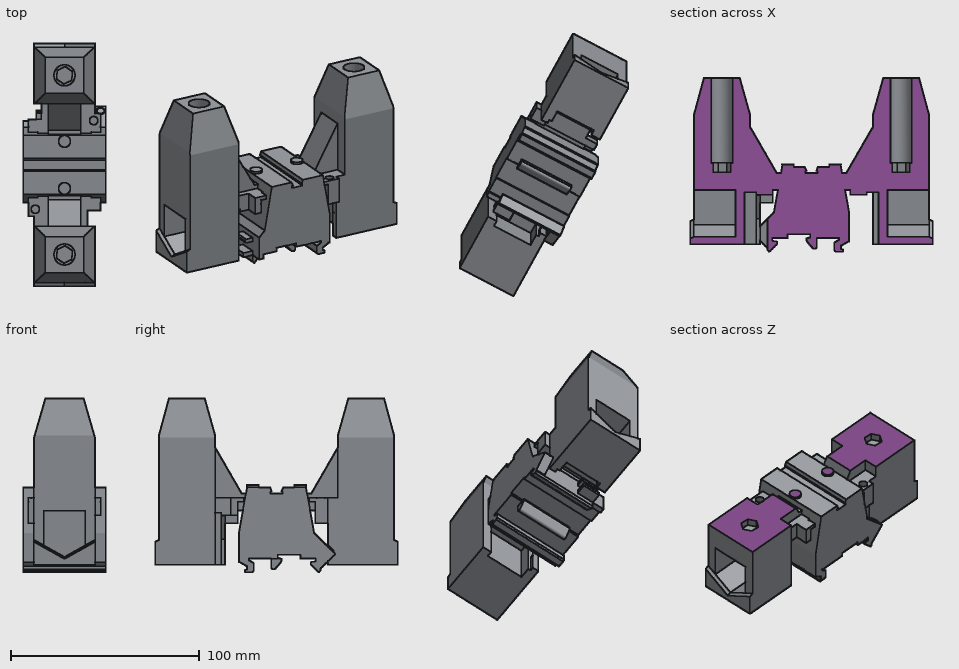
import cadquery as cq


tower_half_width = 16.2
tower_inner_y = 32.5
tower_outer_y = 62.4
tower_top_z = 88.2
side_taper_z = 67.4
end_taper_z = 68.6
crown_half_width = 10.2
crown_inner_y = 38.0
crown_outer_y = 57.1

screw_y = 47.5
screw_hole_diameter = 11.2
screw_hole_depth = 45.0
hex_across_corners = 9.3
hex_depth = 5.0
hex_turn = 26.0

overall_length = 128.81
foot_end_y = overall_length / 2
foot_side_z = 13.2
foot_valley_z = 4.1
foot_bevel_drop = 1.0
opening_half_width = 11.0
opening_top_z = 28.7
opening_depth = 22.0

recess_depth = 3.0
recess_top_z = 27.5
plinth_end_y = 27.3
plinth_step_y = 29.3
plinth_step_inset = 1.5
notch_base_z = 13.5
notch_top_z = 26.0
notch_depth = 3.0

bracket_top_z = 35.5
bracket_base_z = 26.2
wing_half_width = 19.1
wing_end_y = 20.5
lip_end_y = 17.4
lip_base_z = 33.5
neck_half_width = 14.3
neck_base_z = 28.7
neck_end_y = 14.0
left_notch_x = -12.2
left_notch_y = 24.2
deep_wing_base_z = 22.0
wing_hole_x = 15.5
wing_hole_y = 23.5
wing_hole_diameter = 4.4
wing_hole_depth = 10.0
rib_half_width = 8.55
rib_peak_z = 62.2
rib_toe_y = 18.4
rib_toe_z = 37.8

block_half_length = 22.0
block_top_z = 41.1
block_base_z = 3.2
shoulder_y = 20.0
shoulder_z = 16.9
block_top_half_y = 15.65
nose_y = 23.4
overall_height = 92.25
foot_bottom_z = tower_top_z - overall_height
groove_mouth_high_y = 3.6
groove_mouth_low_y = -3.3
groove_lip_half_y = 2.6
groove_lip_z = 39.0
groove_half_y = 3.15
groove_undercut_z = 38.6
groove_floor_z = 37.8
fixed_hook_start_y = -19.3
fixed_hook_start_z = 1.2
fixed_hook_waist_y = -15.7
fixed_hook_waist_z = -0.8
fixed_hook_toe_top_z = -2.4
fixed_hook_toe_y = -16.9
toe_chamfer = 0.45
fixed_hook_inner_y = -12.0
heel_chamfer = 0.85
rail_lip_low_z = 0.9
rail_lip_high_z = 2.4
rail_slot_y = -14.6
channel_low_y = 0.7
channel_high_y = 12.6
channel_top_z = 5.2
catch_start_x = -15.0
hook_root_y = 20.7
hook_root_chamfer = 0.5
hook_ledge_z = 1.6
hook_front_y = 18.1
hook_front_low_z = 0.2
hook_tip_chamfer = 1.05
tooth_back_y = -2.9
tooth_round_back_z = -1.5
tooth_tip_y = -1.7
tooth_tip_z = -2.5
tooth_round_front_y = -0.5
tooth_round_front_z = -2.0
tooth_slope_y = 2.2
tooth_slope_z = 1.1
tooth_front_y = 2.7
tooth_front_low_z = 2.2
tooth_shoulder_z = 3.7
button_y = 12.5
button_diameter = 6.3
button_height = 1.2

wedge_start_x = 16.5
wedge_tip_y = 31.2
boss_x = 19.1
boss_y = 28.4
boss_diameter = 4.4
boss_height = 0.6
boss_flat_offset = 1.7
release_start_x = -15.0
release_width = 10.0
lever_end_y = 29.1
lever_base_z = 0.8
lever_top_z = 3.2
pin_end_y = 28.2
pin_base_z = 8.7
pin_top_z = 10.8
pin_chamfer = 0.8


def box(x_range, y_range, z_range):
    """Axis-aligned box given by its limits along each axis."""
    size = [high - low for low, high in (x_range, y_range, z_range)]
    corner = cq.Vector(x_range[0], y_range[0], z_range[0])
    return cq.Workplane(obj=cq.Solid.makeBox(*size, pnt=corner))


def along_x(points, x_start, x_end):
    """Extrude a (y, z) outline from x_start to x_end."""
    return cq.Workplane("YZ", origin=(x_start, 0, 0)).polyline(points).close().extrude(x_end - x_start)


def along_y(points, y_start, y_end):
    """Extrude an (x, z) outline from y_start to y_end."""
    return cq.Workplane("XZ", origin=(0, y_start, 0)).polyline(points).close().extrude(y_start - y_end)


def make_tower_shell():
    """Square tower whose four sides lean in towards the crown."""
    side_outline = [
        (tower_inner_y, 0),
        (tower_outer_y, 0),
        (tower_outer_y, end_taper_z),
        (crown_outer_y, tower_top_z),
        (crown_inner_y, tower_top_z),
        (tower_inner_y, end_taper_z),
    ]
    end_outline = [
        (-tower_half_width, 0),
        (tower_half_width, 0),
        (tower_half_width, side_taper_z),
        (crown_half_width, tower_top_z),
        (-crown_half_width, tower_top_z),
        (-tower_half_width, side_taper_z),
    ]
    shell = along_x(side_outline, -tower_half_width, tower_half_width)
    return shell.intersect(along_y(end_outline, tower_inner_y, tower_outer_y))


def make_foot():
    """Foot on the outer face with a V-shaped, bevelled top edge."""
    def wire(y, drop):
        points = [
            (-tower_half_width, 0),
            (tower_half_width, 0),
            (tower_half_width, foot_side_z - drop),
            (0, foot_valley_z - drop),
            (-tower_half_width, foot_side_z - drop),
        ]
        return cq.Wire.makePolygon([cq.Vector(x, y, z) for x, z in points], close=True)

    ends = [wire(tower_outer_y, 0), wire(foot_end_y, foot_bevel_drop)]
    return cq.Workplane(obj=cq.Solid.makeLoft(ends, True))


def make_cable_opening():
    """Opening in the outer face whose floor continues the V of the foot."""
    v_slope = (foot_side_z - foot_valley_z) / tower_half_width
    edge_z = foot_valley_z + v_slope * opening_half_width
    outline = [
        (-opening_half_width, opening_top_z),
        (-opening_half_width, edge_z),
        (0, foot_valley_z),
        (opening_half_width, edge_z),
        (opening_half_width, opening_top_z),
    ]
    return along_y(outline, tower_outer_y - opening_depth, tower_outer_y)


def make_screw_hole():
    """Round access hole ending in a hexagonal socket."""
    floor_z = tower_top_z - screw_hole_depth
    hole = (
        cq.Workplane("XY", origin=(0, screw_y, floor_z))
        .circle(screw_hole_diameter / 2)
        .extrude(screw_hole_depth)
    )
    socket = (
        cq.Workplane("XY")
        .polygon(6, hex_across_corners)
        .extrude(-hex_depth)
        .rotate((0, 0, 0), (0, 0, 1), hex_turn)
        .translate((0, screw_y, floor_z))
    )
    return hole.union(socket)


def make_plinth():
    """Ledge at the +X edge of the inner face, with a slanted notch in its front strip."""
    inner_x = opening_half_width
    front_x = inner_x + plinth_step_inset
    back = box((inner_x, tower_half_width), (plinth_step_y, tower_inner_y), (0, bracket_top_z))
    front = box((front_x, tower_half_width), (plinth_end_y, plinth_step_y), (0, bracket_top_z))
    notch = (
        cq.Workplane("XY", origin=(0, 0, notch_base_z))
        .moveTo(front_x, plinth_end_y)
        .lineTo(front_x, plinth_step_y)
        .lineTo(front_x + notch_depth, plinth_step_y)
        .close()
        .extrude(notch_top_z - notch_base_z)
    )
    return back.union(front.cut(notch))


def make_bracket():
    """Winged plate with a sloping rib that ties the tower to the block."""
    wing_x = (-wing_half_width, wing_half_width)
    plate_x = (left_notch_x, tower_half_width)
    neck_x = (-neck_half_width, neck_half_width)
    plate_z = (bracket_base_z, bracket_top_z)
    wings = box(wing_x, (wing_end_y, left_notch_y), plate_z)
    lip = box(wing_x, (lip_end_y, wing_end_y), (lip_base_z, bracket_top_z))
    neck = box(neck_x, (neck_end_y, wing_end_y), (neck_base_z, bracket_top_z))
    plate = box(plate_x, (left_notch_y, plinth_step_y), plate_z)
    root = box(plate_x, (plinth_step_y, tower_inner_y), (recess_top_z, bracket_top_z))
    deep_wing = box(
        (opening_half_width, wing_half_width),
        (wing_end_y, plinth_end_y),
        (deep_wing_base_z, bracket_top_z),
    )
    rib_outline = [
        (tower_inner_y, bracket_top_z),
        (tower_inner_y, rib_peak_z),
        (rib_toe_y, rib_toe_z),
        (neck_end_y, rib_toe_z),
        (neck_end_y, bracket_top_z),
    ]
    bracket = along_x(rib_outline, -rib_half_width, rib_half_width)
    for piece in (wings, lip, neck, plate, root, deep_wing):
        bracket = bracket.union(piece)
    wing_hole = (
        cq.Workplane("XY", origin=(wing_hole_x, wing_hole_y, bracket_top_z))
        .circle(wing_hole_diameter / 2)
        .extrude(-wing_hole_depth)
    )
    return bracket.cut(wing_hole)


def make_tower():
    """Complete +Y tower with its foot, plinth and bracket."""
    inner_recess = box(
        (-opening_half_width, opening_half_width),
        (tower_inner_y, tower_inner_y + recess_depth),
        (0, recess_top_z),
    )
    tower = make_tower_shell().union(make_foot())
    tower = tower.cut(make_cable_opening()).cut(make_screw_hole()).cut(inner_recess)
    return tower.union(make_plinth()).union(make_bracket())


def make_block():
    """Central block: one outline with a top groove and the fixed rail hook, plus two buttons."""
    outline = [
        (block_top_half_y, block_top_z),
        (groove_mouth_high_y, block_top_z),
        (groove_lip_half_y, groove_lip_z),
        (groove_half_y, groove_undercut_z),
        (groove_half_y, groove_floor_z),
        (-groove_half_y, groove_floor_z),
        (-groove_half_y, groove_undercut_z),
        (-groove_lip_half_y, groove_lip_z),
        (groove_mouth_low_y, block_top_z),
        (-block_top_half_y, block_top_z),
        (-shoulder_y, shoulder_z),
        (-shoulder_y, fixed_hook_start_z),
        (fixed_hook_start_y, fixed_hook_start_z),
        (fixed_hook_waist_y, fixed_hook_waist_z),
        (fixed_hook_waist_y, fixed_hook_toe_top_z),
        (fixed_hook_toe_y, fixed_hook_toe_top_z - toe_chamfer),
        (fixed_hook_toe_y, foot_bottom_z + toe_chamfer),
        (fixed_hook_toe_y + toe_chamfer, foot_bottom_z),
        (fixed_hook_inner_y - heel_chamfer, foot_bottom_z),
        (fixed_hook_inner_y, foot_bottom_z + heel_chamfer),
        (fixed_hook_inner_y, rail_lip_low_z),
        (rail_slot_y, rail_lip_high_z),
        (rail_slot_y, block_base_z),
        (channel_low_y, block_base_z),
        (channel_low_y, channel_top_z),
        (channel_high_y, channel_top_z),
        (channel_high_y, block_base_z),
        (hook_root_y, block_base_z),
        (hook_root_y, lever_base_z),
        (nose_y, lever_base_z),
        (nose_y, shoulder_z - (nose_y - shoulder_y)),
        (shoulder_y, shoulder_z),
    ]
    block = along_x(outline, -block_half_length, block_half_length)
    buttons = (
        cq.Workplane("XY", origin=(0, 0, block_top_z))
        .pushPoints([(0, button_y), (0, -button_y)])
        .circle(button_diameter / 2)
        .extrude(button_height)
    )
    return block.union(buttons)


def make_rail_catches():
    """Sprung hook and rounded centre tooth, both set back from the -X face of the block."""
    hook_outline = [
        (hook_root_y, block_base_z),
        (hook_root_y, hook_ledge_z + hook_root_chamfer),
        (hook_root_y - hook_root_chamfer, hook_ledge_z),
        (hook_front_y + hook_root_chamfer, hook_ledge_z),
        (hook_front_y, hook_ledge_z - hook_root_chamfer),
        (hook_front_y, hook_front_low_z),
        (nose_y - hook_tip_chamfer, foot_bottom_z),
        (nose_y, foot_bottom_z + hook_tip_chamfer),
        (nose_y, block_base_z),
    ]
    hook = along_x(hook_outline, catch_start_x, block_half_length)
    tooth = (
        cq.Workplane("YZ", origin=(catch_start_x, 0, 0))
        .moveTo(tooth_back_y, channel_top_z)
        .lineTo(tooth_back_y, tooth_round_back_z)
        .threePointArc((tooth_tip_y, tooth_tip_z), (tooth_round_front_y, tooth_round_front_z))
        .lineTo(tooth_slope_y, tooth_slope_z)
        .lineTo(tooth_front_y, tooth_front_low_z)
        .lineTo(tooth_front_y, block_base_z)
        .lineTo(channel_low_y, tooth_shoulder_z)
        .lineTo(channel_low_y, channel_top_z)
        .close()
        .extrude(-2 * catch_start_x)
    )
    return hook.union(tooth)


def make_wedge():
    """Pointed +X end of the +Y side, with a low round boss, flat on one side, on its upper slope."""
    tip_reach = wedge_tip_y - nose_y
    tip_z = shoulder_z - (wedge_tip_y - shoulder_y)
    outline = [
        (nose_y, tip_z - tip_reach),
        (wedge_tip_y, tip_z),
        (nose_y, tip_z + tip_reach),
    ]
    wedge = along_x(outline, wedge_start_x, block_half_length)
    slope_z = shoulder_z - (boss_y - shoulder_y)
    slope = cq.Plane(origin=(boss_x, boss_y, slope_z), xDir=(1, 0, 0), normal=(0, 1, 1))
    boss = cq.Workplane(slope).circle(boss_diameter / 2).extrude(boss_height)
    flat_x = boss_x - boss_flat_offset
    beyond_flat = box(
        (flat_x - boss_diameter, flat_x),
        (boss_y - boss_diameter, boss_y + boss_diameter),
        (slope_z - boss_diameter, slope_z + boss_diameter),
    )
    return wedge.union(boss.cut(beyond_flat))


def make_release_parts():
    """Release lever and the chamfered pin above it."""
    x_range = (release_start_x, release_start_x + release_width)
    lever = box(x_range, (nose_y, lever_end_y), (lever_base_z, lever_top_z))
    pin = box(x_range, (nose_y, pin_end_y), (pin_base_z, pin_top_z))
    return lever.union(pin.edges("|X and >Y").chamfer(pin_chamfer))


tower = make_tower()
opposite_tower = tower.rotate((0, 0, 0), (0, 0, 1), 180)
block = make_block().union(make_rail_catches()).union(make_wedge()).union(make_release_parts())
result = block.union(tower).union(opposite_tower)